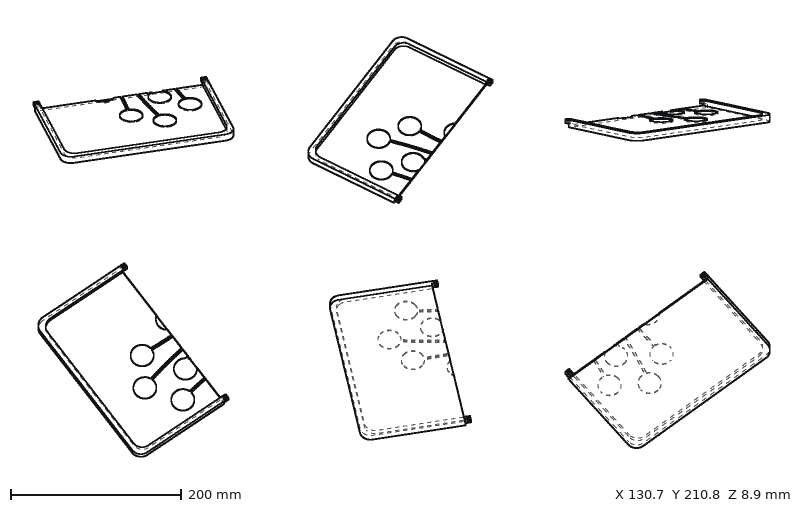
import cadquery as cq

length = 130.7
width = 210.8
height = 8.9
wall = 6.3
corner_radius = 12.6
floor_thickness = 2.7

lap_length = 6.3
lap_height = 4.2

screw_diameter = 2.5
head_diameter = 4.6
head_depth = 2.0
screw_x = 3.0
screw_inset = 3.4

recess_depth = 1.3
disc_diameter = 27.2
channel_width = 2.5
recess_bottom = floor_thickness - recess_depth
disc_centers = {
    "back": (43.6, 73.5),
    "near_edge": (18.3, 43.5),
    "far": (71.0, 35.2),
    "middle": (49.8, 0.0),
    "cut_by_edge": (-1.3, -20.2),
}
channel_paths = [
    [(0.0, 65.8), (19.0, 68.5), (33.7, 71.0)],
    [(0.0, 33.3), (6.3, 33.3), (12.6, 33.5)],
    [(0.0, 19.6), (31.6, 24.9), (61.1, 31.6)],
    [(0.0, 0.2), (19.8, 0.2), (40.0, -0.6)],
]


def rounded_slab(x_start, x_end, slab_width, z_start, z_end):
    """Slab with its two +X corners rounded."""
    return (
        cq.Workplane("XY", origin=(x_start, 0, z_start))
        .box(x_end - x_start, slab_width, z_end - z_start, centered=(False, True, False))
        .edges("|Z and >X")
        .fillet(corner_radius)
    )


def tray():
    """Walled tray, open at -X, with wall ends overhanging the floor."""
    body = rounded_slab(0, length, width, 0, height)
    cavity = rounded_slab(0, length - wall, width - 2 * wall, floor_thickness, height)
    lap = cq.Workplane("XY").box(lap_length, width, lap_height, centered=(False, True, False))
    return body.cut(cavity).cut(lap)


def disc_recess(center):
    return (
        cq.Workplane("XY", origin=(0, 0, recess_bottom))
        .center(*center)
        .circle(disc_diameter / 2)
        .extrude(recess_depth)
    )


def channel_recess(path):
    """Constant-width groove around an arc, its ends cut square to X."""
    start, middle, end = path
    half = channel_width / 2

    def shifted(point, offset):
        return (point[0], point[1] + offset)

    return (
        cq.Workplane("XY", origin=(0, 0, recess_bottom))
        .moveTo(*shifted(start, half))
        .threePointArc(shifted(middle, half), shifted(end, half))
        .lineTo(*shifted(end, -half))
        .threePointArc(shifted(middle, -half), shifted(start, -half))
        .close()
        .extrude(recess_depth)
    )


result = tray()
for disc_center in disc_centers.values():
    result = result.cut(disc_recess(disc_center))
for channel_path in channel_paths:
    result = result.cut(channel_recess(channel_path))

screw_y = width / 2 - screw_inset
result = (
    result.faces(">Z")
    .workplane(origin=(0, 0, height))
    .pushPoints([(screw_x, -screw_y), (screw_x, screw_y)])
    .cboreHole(screw_diameter, head_diameter, head_depth)
)